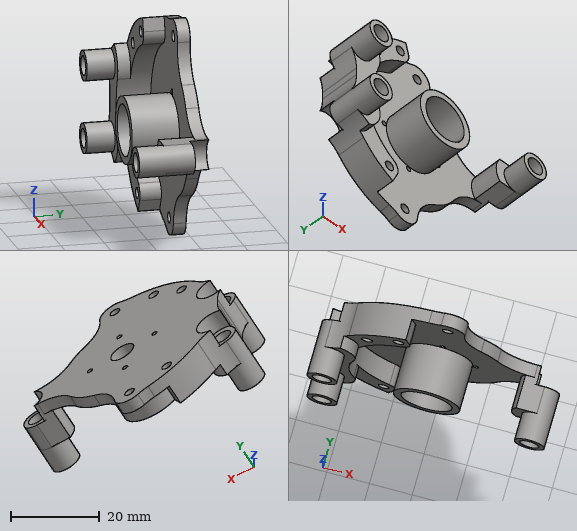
import cadquery as cq
import math

LENGTH = 55.5
DEPTH = 17.5
HEIGHT = 51.8

BOSS_RADIUS = 3.5
BOSS_HOLE_DIAMETER = 4.5
BOSS_RECESS_RADIUS = 4.0
BOSS_RECESS_DEPTH = 4.5
RIM_BOSS_ANGLE = 160.0
BOSS_CIRCLE_RADIUS = (LENGTH - 2 * BOSS_RADIUS) / (1 - math.cos(math.radians(RIM_BOSS_ANGLE)))
BOSS_ANGLES = (0.0, RIM_BOSS_ANGLE, 360.0 - RIM_BOSS_ANGLE)

EAR_RADIUS = 4.0
EAR_ANGLE = 85.0
SCREW_CIRCLE_RADIUS = (HEIGHT / 2 - EAR_RADIUS) / math.sin(math.radians(EAR_ANGLE))
SCREW_HOLE_DIAMETER = 2.5
RIM_HOLE_ANGLES = (112.0, 135.0, 238.0)

LARGE_DISC_RADIUS = BOSS_CIRCLE_RADIUS
SMALL_DISC_RADIUS = 16.0
BLEND_RADIUS = 10.0

PLATE_THICKNESS = 3.0
RIM_HEIGHT = 8.0
PAD_HEIGHT = 11.0
HUB_HEIGHT = 14.0

PAD_RADIUS = 6.0
RIM_INNER_RADIUS = BOSS_CIRCLE_RADIUS - PAD_RADIUS

RIM_EAR_GAP_ANGLE = 20.0
RIM_CORNER_RADIUS = 3.0

HUB_RADIUS = 7.75
BORE_RADIUS = 6.0
SEAT_RADIUS = 4.5
THROUGH_RADIUS = 3.0
BORE_FLOOR = 6.0
SEAT_FLOOR = 3.0
PIN_CIRCLE_RADIUS = 8.5
PIN_HOLE_DIAMETER = 1.3
PIN_COUNT = 4

CENTRE = (0.0, 0.0)


def polar(radius, angle, centre=CENTRE):
    """Point at a radius and an angle in degrees around a centre."""
    turn = math.radians(angle)
    return (centre[0] + radius * math.cos(turn), centre[1] + radius * math.sin(turn))


boss_points = [polar(BOSS_CIRCLE_RADIUS, angle) for angle in BOSS_ANGLES]
ear_points = [polar(SCREW_CIRCLE_RADIUS, angle) for angle in (EAR_ANGLE, EAR_ANGLE + 180)]


def direction(start, end):
    """Angle in degrees of the line from start to end."""
    return math.degrees(math.atan2(end[1] - start[1], end[0] - start[0]))


def back_plane(height=0.0):
    """Sketch plane parallel to the back face; extrusions run toward the bosses (-Y)."""
    return cq.Workplane("XZ", origin=(0, -height, 0))


def cylinders(points, radius, height, base=0.0):
    return back_plane(base).pushPoints(points).circle(radius).extrude(height - base)


def blend_centre(first, second):
    """Centre of the concave arc touching two circles, on the right of the line between them."""
    (start, start_radius), (end, end_radius) = first, second
    near = start_radius + BLEND_RADIUS
    far = end_radius + BLEND_RADIUS
    span = math.dist(start, end)
    corner = math.acos((near**2 + span**2 - far**2) / (2 * near * span))
    return polar(near, direction(start, end) - math.degrees(corner), start)


def add_arc(outline, centre, radius, start_angle, end_angle):
    """Continue the outline along an arc from start_angle to end_angle."""
    middle = polar(radius, (start_angle + end_angle) / 2, centre)
    return outline.threePointArc(middle, polar(radius, end_angle, centre))


def plate_outline():
    """Counterclockwise chain of convex arcs joined by equal concave blends."""
    arm_root_x = math.sqrt((SMALL_DISC_RADIUS + BLEND_RADIUS)**2 - (BOSS_RADIUS + BLEND_RADIUS)**2)
    arm_root = ((arm_root_x, 0.0), BOSS_RADIUS)
    arm_tip = polar(BOSS_CIRCLE_RADIUS, 0)
    small_disc = (CENTRE, SMALL_DISC_RADIUS)
    large_disc = (CENTRE, LARGE_DISC_RADIUS)
    top_ear, bottom_ear = [(point, EAR_RADIUS) for point in ear_points]
    top_boss, bottom_boss = [(point, BOSS_RADIUS) for point in boss_points[1:]]
    chain = [
        arm_root, small_disc, top_ear, large_disc, top_boss, large_disc,
        bottom_boss, large_disc, bottom_ear, small_disc, arm_root,
    ]
    blends = [blend_centre(first, second) for first, second in zip(chain, chain[1:])]

    outline = back_plane().moveTo(arm_tip[0], -BOSS_RADIUS)
    outline = add_arc(outline, arm_tip, BOSS_RADIUS, -90, 90)
    outline = outline.lineTo(arm_root_x, BOSS_RADIUS)
    for index, blend in enumerate(blends):
        before = chain[index][0]
        after, after_radius = chain[index + 1]
        blend_start = direction(blend, before)
        blend_sweep = (blend_start - direction(blend, after)) % 360
        outline = add_arc(outline, blend, BLEND_RADIUS, blend_start, blend_start - blend_sweep)
        if index + 1 < len(blends):
            arc_start = direction(after, blend)
            arc_sweep = (direction(after, blends[index + 1]) - arc_start) % 360
            outline = add_arc(outline, after, after_radius, arc_start, arc_start + arc_sweep)
    return outline.close()


def rim_band():
    """Band outside the rim's inner edge, between two radial ends with rounded inner corners."""
    corner_circle_radius = RIM_INNER_RADIUS + RIM_CORNER_RADIUS
    tangent_radius = math.sqrt(corner_circle_radius**2 - RIM_CORNER_RADIUS**2)
    corner_offset_angle = math.degrees(math.asin(RIM_CORNER_RADIUS / corner_circle_radius))
    first_end = EAR_ANGLE + RIM_EAR_GAP_ANGLE
    last_end = EAR_ANGLE + 180 - RIM_EAR_GAP_ANGLE
    first_angle = first_end + corner_offset_angle
    last_angle = last_end - corner_offset_angle
    first_corner = polar(corner_circle_radius, first_angle)
    last_corner = polar(corner_circle_radius, last_angle)

    band = back_plane().moveTo(*polar(LENGTH, first_end)).lineTo(*polar(tangent_radius, first_end))
    band = add_arc(band, first_corner, RIM_CORNER_RADIUS, first_end - 90, first_angle - 180)
    band = add_arc(band, CENTRE, RIM_INNER_RADIUS, first_angle, last_angle)
    band = add_arc(band, last_corner, RIM_CORNER_RADIUS, last_angle + 180, last_end + 90)
    band = band.lineTo(*polar(LENGTH, last_end))
    band = add_arc(band, CENTRE, LENGTH, last_end, first_end)
    return band.close().extrude(RIM_HEIGHT)


def rim_pad():
    """Discs around the two rim bosses and the stretch of rim between them."""
    wedge_corners = [CENTRE] + [polar(LENGTH, angle) for angle in BOSS_ANGLES[1:]]
    wedge = back_plane().polyline(wedge_corners).close().extrude(PAD_HEIGHT)
    between_bosses = wedge.cut(cylinders([CENTRE], RIM_INNER_RADIUS, PAD_HEIGHT))
    return cylinders(boss_points[1:], PAD_RADIUS, PAD_HEIGHT).union(between_bosses)


def arm_pad():
    """Pad on the arm, rounded toward the hub and as wide as the boss."""
    strip = back_plane().rect(LENGTH, 2 * BOSS_RADIUS).extrude(PAD_HEIGHT)
    return cylinders(boss_points[:1], PAD_RADIUS, PAD_HEIGHT).intersect(strip)


body = plate_outline().extrude(PLATE_THICKNESS)

raised_areas = rim_band().union(rim_pad()).union(arm_pad())
body = body.union(plate_outline().extrude(PAD_HEIGHT).intersect(raised_areas))

body = body.union(cylinders(boss_points, BOSS_RADIUS, DEPTH))
body = body.union(cylinders([CENTRE], HUB_RADIUS, HUB_HEIGHT))

body = body.cut(cylinders(boss_points, BOSS_HOLE_DIAMETER / 2, DEPTH))
body = body.cut(cylinders(boss_points, BOSS_RECESS_RADIUS, BOSS_RECESS_DEPTH))

body = body.cut(cylinders([CENTRE], THROUGH_RADIUS, HUB_HEIGHT))
body = body.cut(cylinders([CENTRE], SEAT_RADIUS, HUB_HEIGHT, SEAT_FLOOR))
body = body.cut(cylinders([CENTRE], BORE_RADIUS, HUB_HEIGHT, BORE_FLOOR))

screw_points = ear_points + [polar(SCREW_CIRCLE_RADIUS, angle) for angle in RIM_HOLE_ANGLES]
body = body.cut(cylinders(screw_points, SCREW_HOLE_DIAMETER / 2, RIM_HEIGHT))

pin_angles = [EAR_ANGLE + index * 360 / PIN_COUNT for index in range(PIN_COUNT)]
pin_points = [polar(PIN_CIRCLE_RADIUS, angle) for angle in pin_angles]
body = body.cut(cylinders(pin_points, PIN_HOLE_DIAMETER / 2, PLATE_THICKNESS))

result = body